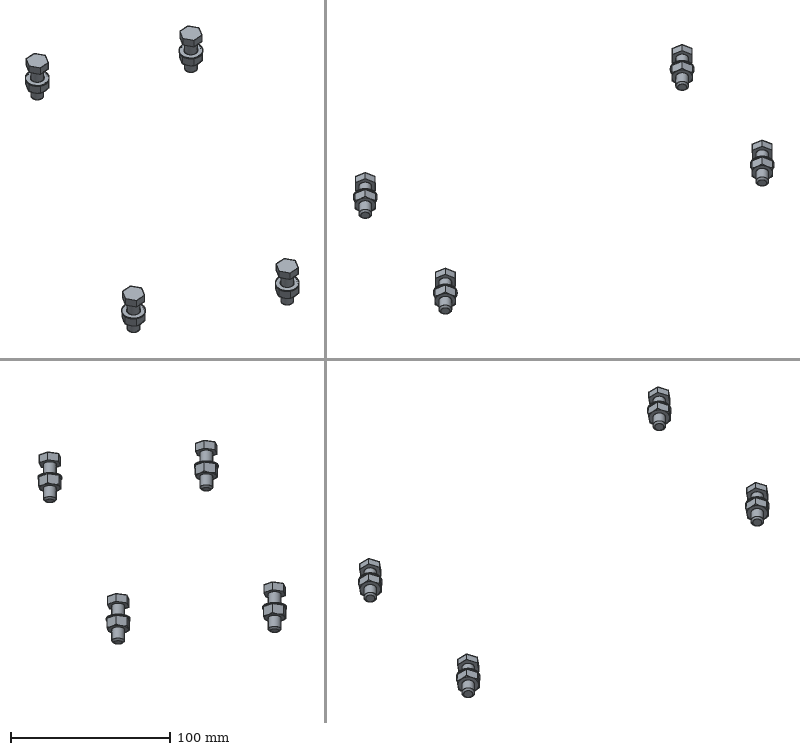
import cadquery as cq
import math

overall_length = 245
overall_width = 115.0

head_across_flats = 12.5
head_height = 5.5

shank_diameter = 8.0
shank_length = 25.0
tip_chamfer = 1.2

nut_across_flats = 13.0
nut_height = 7.4
nut_drop = 8.8
flange_thickness = 0.7
bevel_angle = 30
countersink_diameter = 8.8

corner_ratio = 1 / math.cos(math.radians(30))
nut_across_corners = nut_across_flats * corner_ratio
flange_diameter = nut_across_corners
nut_top = -nut_drop
nut_bottom = nut_top - nut_height
bevel_width = (nut_across_corners - nut_across_flats) / 2
bevel_height = bevel_width * math.tan(math.radians(bevel_angle))
countersink_depth = (countersink_diameter - shank_diameter) / 2

pitch_x = overall_length - flange_diameter
pitch_y = overall_width - flange_diameter


def hexagonal_prism(across_flats, bottom, height):
    """Upright hexagonal prism with two of its corners over the X axis."""
    return (
        cq.Workplane("XY", origin=(0, 0, bottom))
        .polygon(6, across_flats * corner_ratio)
        .extrude(height)
    )


def make_head():
    """Plain hexagon head."""
    return hexagonal_prism(head_across_flats, 0, head_height)


def make_shank():
    """Round shank with a chamfered tip."""
    return (
        cq.Workplane("XY")
        .circle(shank_diameter / 2)
        .extrude(-shank_length)
        .faces("<Z")
        .chamfer(tip_chamfer)
    )


def bevel_envelope():
    """Cylinder around the nut, beveled at the bottom so that it trims the hexagon's corners."""
    return (
        cq.Workplane("XY", origin=(0, 0, nut_bottom))
        .circle(nut_across_corners / 2)
        .extrude(nut_height)
        .faces("<Z")
        .chamfer(bevel_height, bevel_width)
    )


def make_countersink():
    """45 degree cone that opens the top of the nut around the shank."""
    return (
        cq.Workplane("XY", origin=(0, 0, nut_top))
        .circle(countersink_diameter / 2)
        .extrude(-countersink_depth, taper=45)
    )


def make_nut():
    """Hexagonal nut with beveled lower corners and a thin round flange flush with its top."""
    hexagon = hexagonal_prism(nut_across_flats, nut_bottom, nut_height)
    flange = (
        cq.Workplane("XY", origin=(0, 0, nut_top))
        .circle(flange_diameter / 2)
        .extrude(-flange_thickness)
    )
    return hexagon.intersect(bevel_envelope()).union(flange).cut(make_countersink())


def make_bolt(x, y):
    """One body: head, shank and nut together, with its axis at (x, y)."""
    bolt = make_head().union(make_shank()).union(make_nut())
    return bolt.translate((x, y, 0))


bolts = [
    make_bolt(side_x * pitch_x / 2, side_y * pitch_y / 2)
    for side_x in (-1, 1)
    for side_y in (-1, 1)
]

result = cq.Compound.makeCompound([bolt.val() for bolt in bolts])